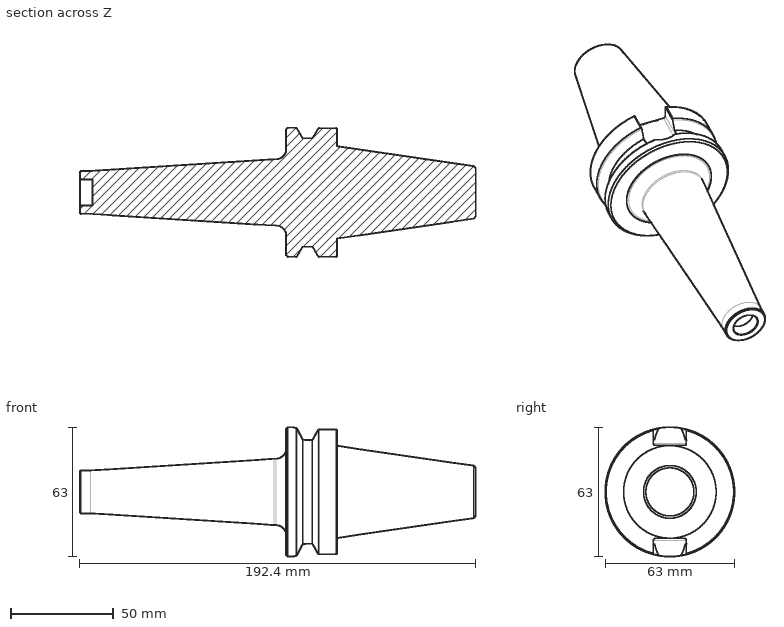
import cadquery as cq
import math


gauge_dia = 44.45
taper_ratio = 7 / 24
shank_length = 65.4
shank_end_chamfer = 1.0

flange_dia = 63.0
flange_width = 25.0
flange_gap = 2.0
flange_front_chamfer = 1.0
flange_rear_chamfer = 0.5

groove_dia = 53.0
groove_center_from_rear = 14.4
groove_floor_width = 4.7
groove_half_angle = 30.0
groove_edge_chamfer = 0.5

slot_half_width = 8.05
slot_floor_height = 22.6
slot_center_from_rear = 13.6
slot_floor_fillet = 1.0
slot_edge_chamfer = 0.5
slot_overrun = 1.0
slot_angles = (0, 180)

nose_length = 127.0
nose_dia = 21.0
nose_land = 5.0
nose_chamfer = 0.5
neck_dia = 32.4
neck_land = 1.0
neck_fillet = 5.0
neck_recess_dia = 44.4
neck_recess_depth = 0.2

bore_dia = 12.5
bore_depth = 6.0
bore_chamfer = 0.25

nose_face = -nose_length
flange_rear = -flange_gap
flange_front = flange_rear - flange_width
fillet_end = flange_front + neck_recess_depth
fillet_start = fillet_end - neck_fillet
groove_center = flange_rear - groove_center_from_rear

nose_r = nose_dia / 2
neck_r = neck_dia / 2
fillet_end_r = neck_r + neck_fillet
recess_r = neck_recess_dia / 2
flange_r = flange_dia / 2
groove_r = groove_dia / 2


def shank_radius(x):
    """Radius of the taper at station x."""
    return (gauge_dia - taper_ratio * x) / 2


def make_body():
    """Revolved solid: nose, neck fillet, flange and taper shank."""
    fillet_mid_offset = neck_fillet * math.sqrt(0.5)
    return (
        cq.Workplane("XY")
        .moveTo(nose_face, 0)
        .lineTo(nose_face, nose_r - nose_chamfer)
        .lineTo(nose_face + nose_chamfer, nose_r)
        .lineTo(nose_face + nose_land, nose_r)
        .lineTo(fillet_start - neck_land, neck_r)
        .lineTo(fillet_start, neck_r)
        .threePointArc(
            (fillet_start + fillet_mid_offset, fillet_end_r - fillet_mid_offset),
            (fillet_end, fillet_end_r),
        )
        .lineTo(fillet_end, recess_r)
        .lineTo(flange_front, recess_r)
        .lineTo(flange_front, flange_r - flange_front_chamfer)
        .lineTo(flange_front + flange_front_chamfer, flange_r)
        .lineTo(flange_rear - flange_rear_chamfer, flange_r)
        .lineTo(flange_rear, flange_r - flange_rear_chamfer)
        .lineTo(flange_rear, shank_radius(flange_rear))
        .lineTo(shank_length - shank_end_chamfer, shank_radius(shank_length - shank_end_chamfer))
        .lineTo(shank_length, shank_radius(shank_length) - shank_end_chamfer)
        .lineTo(shank_length, 0)
        .close()
        .revolve(360, (0, 0, 0), (1, 0, 0))
    )


def make_groove():
    """Ring that cuts the V groove, with its outer edges broken."""
    edge_r = flange_r - groove_edge_chamfer
    half_floor = groove_floor_width / 2
    half_edge = half_floor + (edge_r - groove_r) * math.tan(math.radians(groove_half_angle))
    half_top = half_edge + groove_edge_chamfer
    return (
        cq.Workplane("XY")
        .moveTo(groove_center - half_floor, groove_r)
        .lineTo(groove_center - half_edge, edge_r)
        .lineTo(groove_center - half_top, flange_r)
        .lineTo(groove_center + half_top, flange_r)
        .lineTo(groove_center + half_edge, edge_r)
        .lineTo(groove_center + half_floor, groove_r)
        .close()
        .revolve(360, (0, 0, 0), (1, 0, 0))
    )


def make_drive_slot(angle):
    """Cutter for a round-ended slot with a filleted floor, turned about the axis."""
    slot_center = flange_rear - slot_center_from_rear
    slot_end = flange_rear + slot_overrun
    return (
        cq.Workplane("XY", origin=(0, 0, slot_floor_height))
        .moveTo(slot_end, -slot_half_width)
        .lineTo(slot_center, -slot_half_width)
        .threePointArc((slot_center - slot_half_width, 0), (slot_center, slot_half_width))
        .lineTo(slot_end, slot_half_width)
        .close()
        .extrude(flange_r - slot_floor_height)
        .faces("<Z")
        .edges("not >X")
        .fillet(slot_floor_fillet)
        .rotate((0, 0, 0), (1, 0, 0), angle)
    )


def make_slot_bevel(side, angle):
    """Wedge that breaks the outer edge of one slot wall on the rear flange ring."""
    edge_height = math.sqrt(flange_r**2 - slot_half_width**2)
    return (
        cq.Workplane("YZ", origin=(groove_center, 0, 0))
        .moveTo(side * slot_half_width, edge_height - slot_edge_chamfer)
        .lineTo(side * (slot_half_width + 2 * slot_edge_chamfer), edge_height + slot_edge_chamfer)
        .lineTo(side * slot_half_width, edge_height + slot_edge_chamfer)
        .close()
        .extrude(flange_rear - groove_center)
        .rotate((0, 0, 0), (1, 0, 0), angle)
    )


def make_bore():
    """Blind bore in the nose face with a chamfered mouth."""
    bore_r = bore_dia / 2
    return (
        cq.Workplane("XY")
        .moveTo(nose_face, 0)
        .lineTo(nose_face, bore_r + bore_chamfer)
        .lineTo(nose_face + bore_chamfer, bore_r)
        .lineTo(nose_face + bore_depth, bore_r)
        .lineTo(nose_face + bore_depth, 0)
        .close()
        .revolve(360, (0, 0, 0), (1, 0, 0))
    )


result = make_body().cut(make_groove()).cut(make_bore())
for slot_angle in slot_angles:
    result = result.cut(make_drive_slot(slot_angle))
    for wall_side in (-1, 1):
        result = result.cut(make_slot_bevel(wall_side, slot_angle))